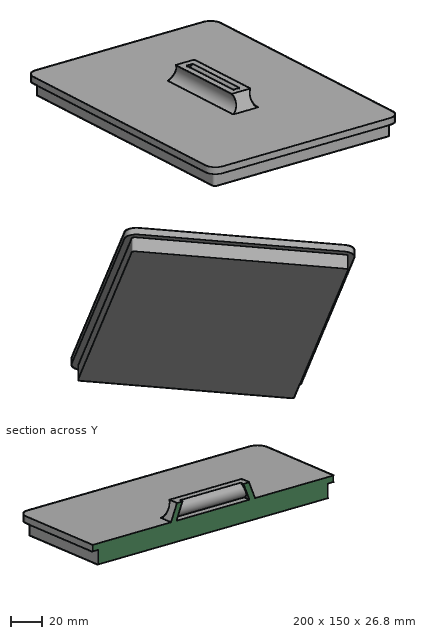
import cadquery as cq
import math

plate_length = 200.0
plate_width = 150.0
plate_thickness = 4.8
plate_corner_radius = 8.0

plug_inset = 4.5
plug_height = 10.0
plug_corner_radius = 2.0

handle_height = 12.0
handle_top_length = 60.0
handle_top_width = 15.0
handle_base_length = 70.0
handle_base_width = 20.0
finger_groove_radius = 8.1

handle_wall = 5.0
slot_side_radius = 7.5

plate_bottom = plug_height
plate_top = plate_bottom + plate_thickness
handle_top = plate_top + handle_height


def rounded_slab(length, width, height, corner_radius, bottom):
    """Flat slab centred on the Z axis with rounded vertical edges."""
    slab = cq.Workplane("XY", origin=(0, 0, bottom)).rect(length, width).extrude(height)
    return slab.edges("|Z").fillet(corner_radius)


def side_arc_middle(base_y, top_y, radius):
    """Midpoint, as (y, z), of the arc on the +Y side that bulges towards the middle plane."""
    run = base_y - top_y
    chord = math.hypot(run, handle_height)
    sagitta = radius - math.sqrt(radius**2 - (chord / 2) ** 2)
    chord_middle_y = (base_y + top_y) / 2
    chord_middle_z = plate_top + handle_height / 2
    middle_y = chord_middle_y - sagitta * handle_height / chord
    middle_z = chord_middle_z - sagitta * run / chord
    return middle_y, middle_z


def waisted_bar(inset, side_radius):
    """Bar along X with a waisted section and sloped ends, set in from the handle's edges."""
    base_x = handle_base_length / 2 - inset
    top_x = handle_top_length / 2 - inset
    base_y = handle_base_width / 2 - inset
    top_y = handle_top_width / 2 - inset
    waist_y, waist_z = side_arc_middle(base_y, top_y, side_radius)

    waisted_section = (
        cq.Workplane("YZ")
        .moveTo(-base_y, plate_top)
        .lineTo(base_y, plate_top)
        .threePointArc((waist_y, waist_z), (top_y, handle_top))
        .lineTo(-top_y, handle_top)
        .threePointArc((-waist_y, waist_z), (-base_y, plate_top))
        .close()
        .extrude(base_x, both=True)
    )
    sloped_ends = (
        cq.Workplane("XZ")
        .moveTo(-base_x, plate_top)
        .lineTo(base_x, plate_top)
        .lineTo(top_x, handle_top)
        .lineTo(-top_x, handle_top)
        .close()
        .extrude(base_y, both=True)
    )
    return waisted_section.intersect(sloped_ends)


plug_length = plate_length - 2 * plug_inset
plug_width = plate_width - 2 * plug_inset

plate = rounded_slab(plate_length, plate_width, plate_thickness, plate_corner_radius, plate_bottom)
plug = rounded_slab(plug_length, plug_width, plug_height, plug_corner_radius, 0)
handle = waisted_bar(0, finger_groove_radius)
slot = waisted_bar(handle_wall, slot_side_radius)

result = plate.union(plug).union(handle).cut(slot)